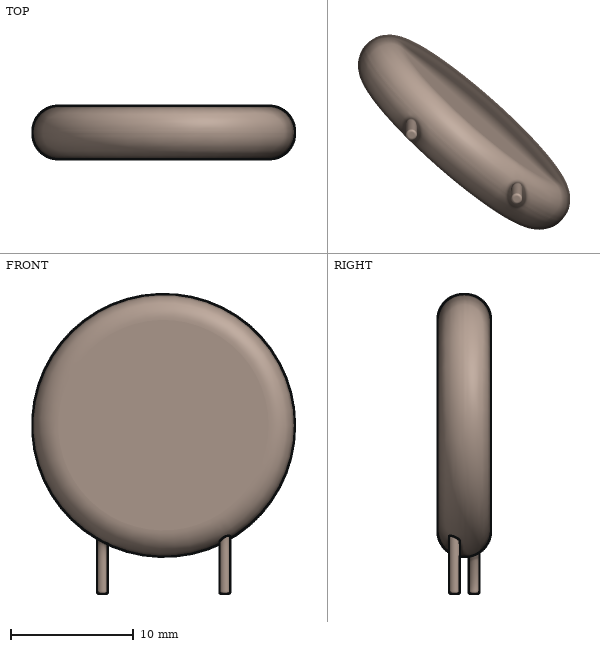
import cadquery as cq

body_diameter = 21.5
body_thickness = 4.4
rim_band_width = 0.1
rim_fillet = (body_thickness - rim_band_width) / 2

overall_height = 24.53
lead_diameter = 0.9
lead_pitch = 10.0
lead_stagger = 1.6
lead_tip_fillet = 0.2
lead_bottom = body_diameter / 2 - overall_height
lead_top = -body_diameter / 4


def make_body():
    disc = cq.Workplane("XZ").circle(body_diameter / 2).extrude(body_thickness / 2, both=True)
    return disc.edges("%CIRCLE").fillet(rim_fillet)


def make_lead(x, y):
    lead = (
        cq.Workplane("XY", origin=(x, y, lead_bottom))
        .circle(lead_diameter / 2)
        .extrude(lead_top - lead_bottom)
    )
    return lead.faces("<Z").edges().fillet(lead_tip_fillet)


result = make_body()
for side in (-1, 1):
    result = result.union(make_lead(side * lead_pitch / 2, -side * lead_stagger / 2))